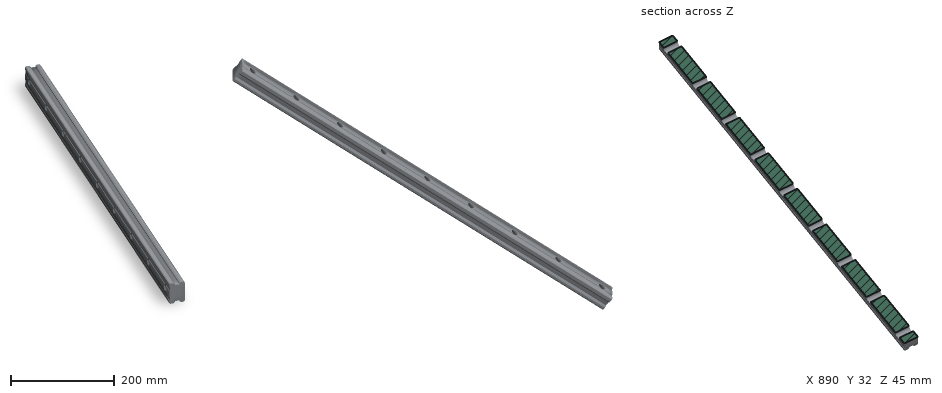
import cadquery as cq

LENGTH = 890.0
HEIGHT = 32.0
WIDTH = 45.0

HALF_HEIGHT = HEIGHT / 2
HALF_WIDTH = WIDTH / 2
HEAD_CHAMFER = 3.0
BASE_CHAMFER = 1.5

NOTCH_DEPTH = 4.5
NOTCH_HEAD_EDGE = 8.5
NOTCH_HEAD_WALL = 5.0
NOTCH_BASE_WALL = -4.0
NOTCH_BASE_EDGE = -7.5
HEAD_FLANK_DEPTH = 2.3
BASE_FLANK_DEPTH = 3.5

GROOVE_INNER = 6.5
GROOVE_OUTER = 15.5
GROOVE_DEPTH = 0.9

HOLE_COUNT = 9
HOLE_PITCH = 105.0
HOLE_DIAMETER = 14.0


def rail_body():
    """Extrude the rail section, symmetric about Z = 0, along X."""
    notch_floor = HALF_WIDTH - NOTCH_DEPTH
    upper_half = [
        (HALF_HEIGHT, HALF_WIDTH - HEAD_CHAMFER),
        (HALF_HEIGHT - HEAD_CHAMFER, HALF_WIDTH),
        (NOTCH_HEAD_EDGE, HALF_WIDTH),
        (NOTCH_HEAD_WALL, HALF_WIDTH - HEAD_FLANK_DEPTH),
        (NOTCH_HEAD_WALL, notch_floor),
        (NOTCH_BASE_WALL, notch_floor),
        (NOTCH_BASE_WALL, HALF_WIDTH - BASE_FLANK_DEPTH),
        (NOTCH_BASE_EDGE, HALF_WIDTH),
        (BASE_CHAMFER - HALF_HEIGHT, HALF_WIDTH),
        (-HALF_HEIGHT, HALF_WIDTH - BASE_CHAMFER),
    ]
    lower_half = [(y, -z) for y, z in reversed(upper_half)]
    section = cq.Workplane("YZ").polyline(upper_half + lower_half).close()
    return section.extrude(LENGTH / 2, both=True)


def relief_groove():
    """Shallow groove along the mounting face on the +Z side, full length."""
    mounting_face = -HALF_HEIGHT
    groove_floor = mounting_face + GROOVE_DEPTH
    outline = [
        (mounting_face, GROOVE_INNER),
        (groove_floor, GROOVE_INNER),
        (groove_floor, GROOVE_OUTER - GROOVE_DEPTH),
        (mounting_face, GROOVE_OUTER),
    ]
    return cq.Workplane("YZ").polyline(outline).close().extrude(LENGTH / 2, both=True)


def mounting_holes():
    """Evenly spaced cylinders passing through the full rail height."""
    return (
        cq.Workplane("XZ")
        .rarray(HOLE_PITCH, 1, HOLE_COUNT, 1)
        .circle(HOLE_DIAMETER / 2)
        .extrude(HALF_HEIGHT, both=True)
    )


upper_groove = relief_groove()
lower_groove = upper_groove.mirror("XY")
result = rail_body().cut(upper_groove).cut(lower_groove).cut(mounting_holes())